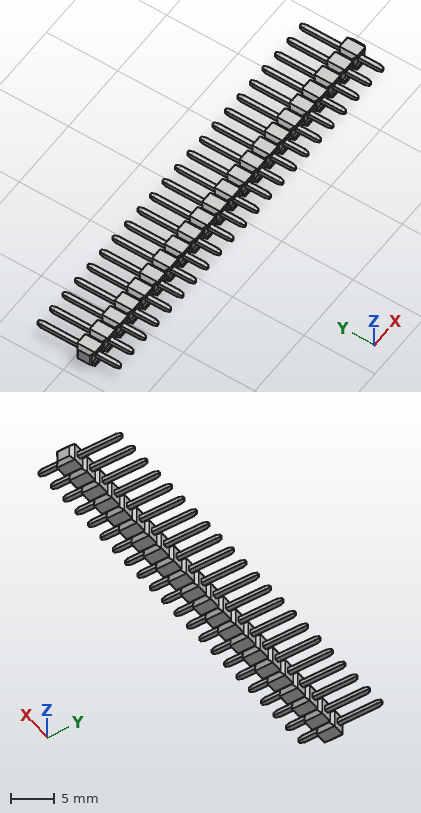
import cadquery as cq

pin_count = 22
row_length = 55.9
pitch = row_length / pin_count

body_size = 2.5
end_face_size = 1.6
crown_width = 1.6
taper_length = (pitch - crown_width) / 2

channel_height = 1.4
channel_depth = 0.3

pin_size = 0.6
tip_size = 0.4
tip_length = 0.55
short_leg = 3.0
long_leg = 6.05
pin_front = -body_size / 2 - short_leg
pin_back = body_size / 2 + long_leg


def make_end_taper():
    """Frustum on the +X end of a cell, from the crown to the shared end face."""
    return (
        cq.Workplane("YZ", origin=(crown_width / 2, 0, 0))
        .rect(body_size, body_size)
        .workplane(offset=taper_length)
        .rect(end_face_size, end_face_size)
        .loft(ruled=True)
    )


def make_cell():
    """Insulator block for one pin, centred on the origin."""
    crown = cq.Workplane("XY").box(crown_width, body_size, body_size)
    taper = make_end_taper()
    return crown.union(taper).union(taper.mirror("YZ"))


def make_tip(direction):
    """Tapered pin tip at the origin, pointing along Y in the given direction (+1 or -1)."""
    base = cq.Plane(origin=(0, 0, 0), xDir=(1, 0, 0), normal=(0, direction, 0))
    return (
        cq.Workplane(base)
        .rect(pin_size, pin_size)
        .workplane(offset=tip_length)
        .rect(tip_size, tip_size)
        .loft(ruled=True)
    )


def make_pin():
    """Straight square pin along Y with a tapered tip at each end."""
    shank_front = pin_front + tip_length
    shank_back = pin_back - tip_length
    shank = cq.Workplane("XY").box(pin_size, shank_back - shank_front, pin_size)
    shank = shank.translate((0, (shank_front + shank_back) / 2, 0))
    front_tip = make_tip(-1).translate((0, shank_front, 0))
    back_tip = make_tip(1).translate((0, shank_back, 0))
    return shank.union(front_tip).union(back_tip)


def make_row(item):
    """Copies of an item at every pin position along X, fused together."""
    first_x = -(row_length - pitch) / 2
    row = cq.Workplane("XY")
    for index in range(pin_count):
        row = row.add(item.translate((first_x + index * pitch, 0, 0)).val())
    return row.combine()


channel = cq.Workplane("XY").box(row_length, channel_depth, channel_height)
channel = channel.translate((0, (channel_depth - body_size) / 2, 0))

insulator = make_row(make_cell()).cut(channel)
result = insulator.union(make_row(make_pin()))